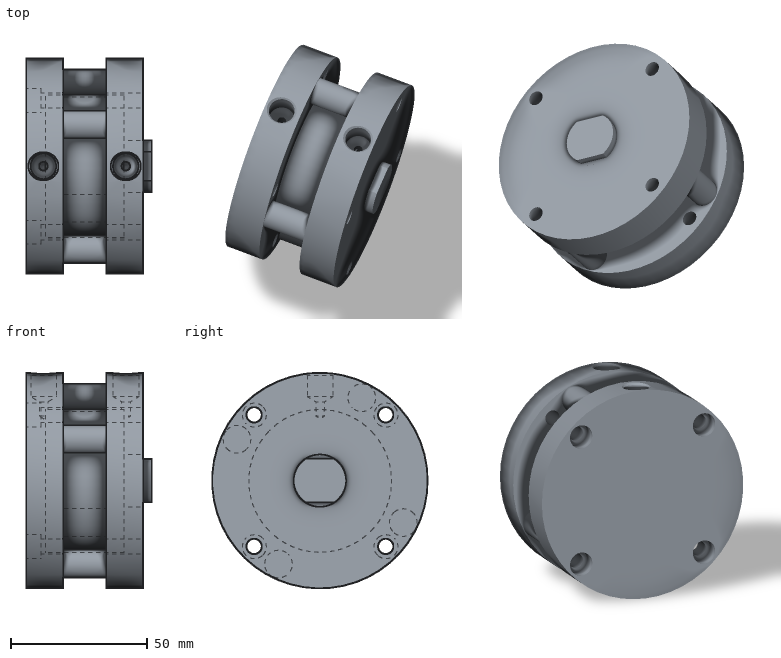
import cadquery as cq
import math

plate_diameter = 79.25
plate_thickness = 13.55
plate_gap = 15.85
rear_plate_x = 0.0
front_plate_x = plate_thickness + plate_gap
front_face_x = front_plate_x + plate_thickness

barrel_diameter = 52.5
barrel_seat_depth = 6.5
barrel_length = plate_gap + 2 * barrel_seat_depth
barrel_x = plate_thickness - barrel_seat_depth

spacer_count = 4
spacer_diameter = 10.15
spacer_circle_radius = 34.15
spacer_tilt = 26.6

screw_hole_diameter = 5.55
screw_hole_spacing = 48.35
counterbore_diameter = 8.8
counterbore_depth = 5.5

port_inset = 6.35
port_diameter = 9.4
port_depth = 8.7
port_mouth_diameter = 11.1
channel_diameter = 3.2
channel_end_z = 23.8
drill_point_angle = 118.0

rod_diameter = 19.25
rod_protrusion = 3.25
rod_across_flats = 16.0


def disc(diameter, start_x, length, y=0.0, z=0.0):
    """Cylinder along +X, starting at start_x."""
    return cq.Workplane("YZ", origin=(start_x, y, z)).circle(diameter / 2).extrude(length)


def cone_height(radius):
    """Height of a drill point with the given radius."""
    return radius / math.tan(math.radians(drill_point_angle / 2))


def port_cutter(port_x):
    """Stepped drilling with a 45 degree mouth chamfer and drill-point bottoms."""
    rim_z = plate_diameter / 2
    port_radius = port_diameter / 2
    mouth_radius = port_mouth_diameter / 2
    channel_radius = channel_diameter / 2
    overshoot = 0.8
    shoulder_z = rim_z - port_depth
    profile = [
        (0, rim_z + overshoot),
        (mouth_radius + overshoot, rim_z + overshoot),
        (port_radius, rim_z - (mouth_radius - port_radius)),
        (port_radius, shoulder_z),
        (channel_radius, shoulder_z - cone_height(port_radius) + cone_height(channel_radius)),
        (channel_radius, channel_end_z),
        (0, channel_end_z - cone_height(channel_radius)),
    ]
    return (
        cq.Workplane("XZ", origin=(port_x, 0, 0))
        .polyline(profile)
        .close()
        .revolve(360, (0, 0, 0), (0, 1, 0))
    )


def screw_cutter(diameter, start_x, length):
    """Four cylinders on the square screw pattern."""
    return (
        cq.Workplane("YZ", origin=(start_x, 0, 0))
        .rect(screw_hole_spacing, screw_hole_spacing, forConstruction=True)
        .vertices()
        .circle(diameter / 2)
        .extrude(length)
    )


def plate(start_x, port_x):
    """Features common to both end plates: disc, barrel recess, screw holes and port."""
    return (
        disc(plate_diameter, start_x, plate_thickness)
        .cut(disc(barrel_diameter, barrel_x, barrel_length))
        .cut(screw_cutter(screw_hole_diameter, start_x, plate_thickness))
        .cut(port_cutter(port_x))
    )


def make_rear_plate():
    """End plate with counterbores sunk from its outer face."""
    counterbores = screw_cutter(counterbore_diameter, rear_plate_x, counterbore_depth)
    return plate(rear_plate_x, rear_plate_x + port_inset).cut(counterbores)


def make_front_plate():
    """End plate with a bore for the rod."""
    rod_bore = disc(rod_diameter, front_plate_x, plate_thickness)
    return plate(front_plate_x, front_face_x - port_inset).cut(rod_bore)


def make_barrel():
    """Solid round barrel, seated at both ends."""
    return disc(barrel_diameter, barrel_x, barrel_length)


def make_spacer(angle):
    """Spacer rod at an angle in degrees, measured from +Y towards +Z."""
    y = spacer_circle_radius * math.cos(math.radians(angle))
    z = spacer_circle_radius * math.sin(math.radians(angle))
    return disc(spacer_diameter, plate_thickness, plate_gap, y, z)


def make_rod():
    """Round rod from the barrel through the front plate, flattened above and below outside it."""
    inner_end_x = barrel_x + barrel_length
    shank = disc(rod_diameter, inner_end_x, front_face_x - inner_end_x)
    flats = cq.Workplane("YZ", origin=(front_face_x, 0, 0)).rect(rod_diameter, rod_across_flats)
    tip = disc(rod_diameter, front_face_x, rod_protrusion).intersect(flats.extrude(rod_protrusion))
    return shank.union(tip)


rear_plate = make_rear_plate()
front_plate = make_front_plate()
barrel = make_barrel()
rod = make_rod()
spacers = [make_spacer(90 - spacer_tilt + i * 360 / spacer_count) for i in range(spacer_count)]

result = cq.Compound.makeCompound(
    [
        rear_plate.val(),
        front_plate.val(),
        barrel.val(),
        rod.val(),
        *[spacer.val() for spacer in spacers],
    ]
)